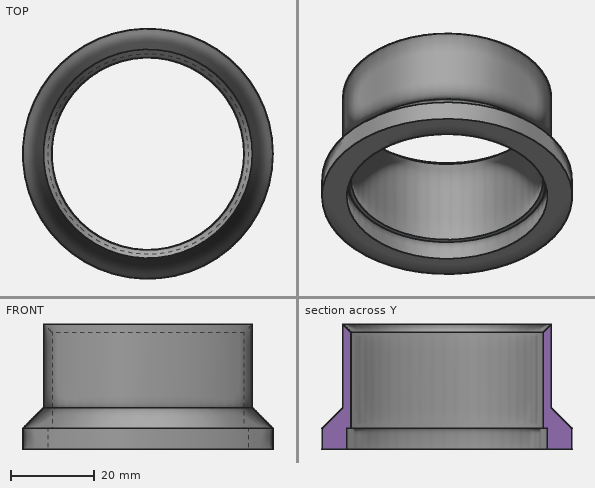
import cadquery as cq

flange_diameter = 59.95
tube_diameter = 50.0
rim_height = 5.05
tube_height = 20.0

bore_diameter = 46.0
recess_diameter = 48.0
recess_depth = rim_height
mouth_depth = 2.0

flange_radius = flange_diameter / 2
tube_radius = tube_diameter / 2
bore_radius = bore_diameter / 2
recess_radius = recess_diameter / 2

shoulder_top = rim_height + flange_radius - tube_radius
total_height = shoulder_top + tube_height

section = (
    cq.Workplane("XZ")
    .moveTo(recess_radius, 0)
    .lineTo(flange_radius, 0)
    .lineTo(flange_radius, rim_height)
    .lineTo(tube_radius, shoulder_top)
    .lineTo(tube_radius, total_height)
    .lineTo(bore_radius, total_height - mouth_depth)
    .lineTo(bore_radius, recess_depth)
    .lineTo(recess_radius, recess_depth)
    .close()
)

result = section.revolve(360, (0, 0, 0), (0, 1, 0))